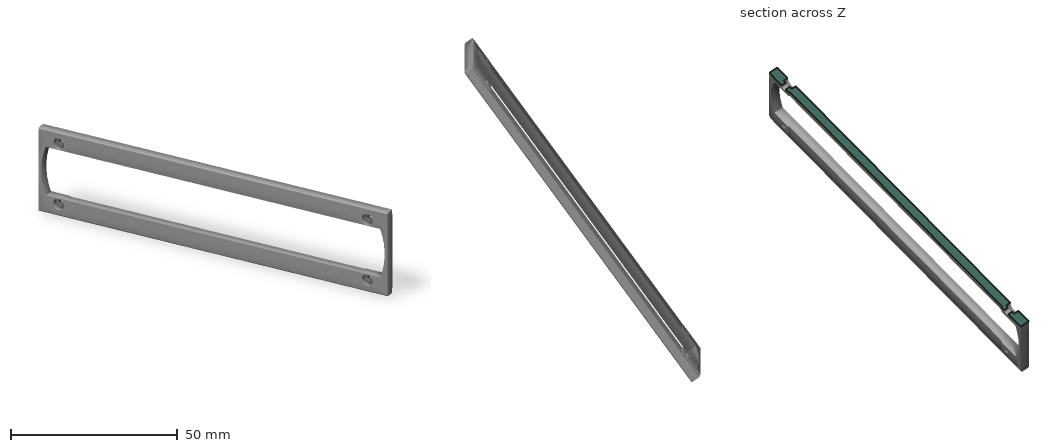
import cadquery as cq

length = 119.2
height = 28.0
total_depth = 3.2
pad_thickness = 0.4
plate_depth = total_depth - pad_thickness
edge_chamfer = 0.4

window_height = 16.2
window_corner_x = 57.1
window_end_x = 58.7

pad_length = 9.2
pad_height = 24.9

hole_x = 52.7
hole_z = 10.1
hole_diameter = 1.8
counterbore_diameter = 3.7
counterbore_depth = 1.5


def make_plate():
    """Flat plate with its long front edges chamfered."""
    plate = cq.Workplane("XY").box(length, plate_depth, height, centered=(True, False, True))
    return plate.faces("<Y").edges("|X").chamfer(edge_chamfer)


def make_pad(side):
    """Back pad flush with one end; side is -1 for left, +1 for right."""
    pad = cq.Workplane("XY").box(pad_length, total_depth, pad_height, centered=(True, False, True))
    return pad.translate((side * (length - pad_length) / 2, 0, 0))


def make_window():
    """Through cutter with arc-shaped ends."""
    sill_z = window_height / 2
    outline = (
        cq.Workplane("XZ")
        .moveTo(-window_corner_x, -sill_z)
        .lineTo(window_corner_x, -sill_z)
        .threePointArc((window_end_x, 0), (window_corner_x, sill_z))
        .lineTo(-window_corner_x, sill_z)
        .threePointArc((-window_end_x, 0), (-window_corner_x, -sill_z))
        .close()
    )
    return outline.extrude(-total_depth)


def make_screw_holes():
    """Four through holes, counterbored from the front."""
    centers = [(x, z) for x in (-hole_x, hole_x) for z in (-hole_z, hole_z)]
    pattern = cq.Workplane("XZ").pushPoints(centers)
    shanks = pattern.circle(hole_diameter / 2).extrude(-total_depth)
    heads = pattern.circle(counterbore_diameter / 2).extrude(-counterbore_depth)
    return shanks.union(heads)


frame = make_plate()
for end_side in (-1, 1):
    frame = frame.union(make_pad(end_side))

result = frame.cut(make_window()).cut(make_screw_holes())